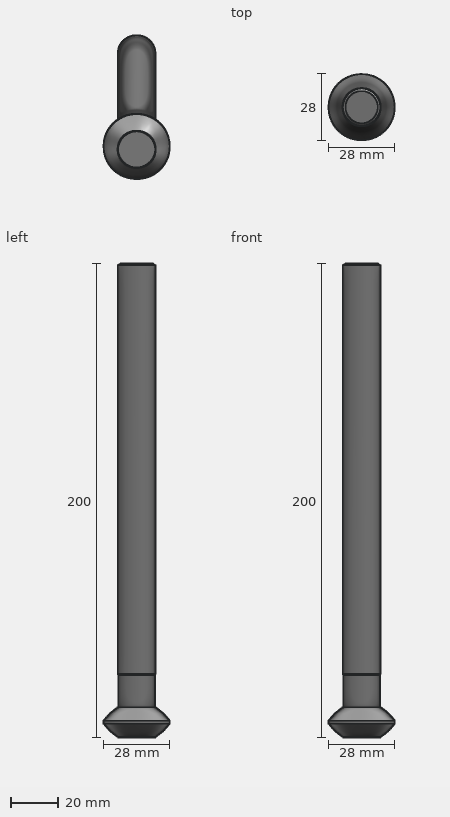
import cadquery as cq

total_length = 200.0
rod_diameter = 16.0
tip_chamfer_height = 0.8
tip_chamfer_depth = 1.2
shank_diameter = 15.5
step_height = 26.5
step_taper = 0.5

collar_diameter = 28.0
collar_end_diameter = 16.2
shank_protrusion = 0.5
collar_height = 12.5
rim_width = 1.2
flank_bulge = 0.5


def make_rod():
    """Rod with a chamfered tip and a slightly thinner shank at its lower end."""
    rod_radius = rod_diameter / 2
    shank_radius = shank_diameter / 2
    return (
        cq.Workplane("XZ")
        .moveTo(0, 0)
        .lineTo(shank_radius, 0)
        .lineTo(shank_radius, step_height)
        .lineTo(rod_radius, step_height + step_taper)
        .lineTo(rod_radius, total_length - tip_chamfer_height)
        .lineTo(rod_radius - tip_chamfer_depth, total_length)
        .lineTo(0, total_length)
        .close()
        .revolve(360, (0, 0, 0), (0, 1, 0))
    )


def make_collar():
    """Ring with a narrow cylindrical rim between two convex flanks, bored to fit the shank."""
    bore_radius = shank_diameter / 2
    end_radius = collar_end_diameter / 2
    rim_radius = collar_diameter / 2
    collar_bottom = shank_protrusion
    collar_top = collar_bottom + collar_height
    rim_bottom = collar_bottom + (collar_height - rim_width) / 2
    rim_top = rim_bottom + rim_width
    return (
        cq.Workplane("XZ")
        .moveTo(bore_radius, collar_bottom)
        .lineTo(end_radius, collar_bottom)
        .sagittaArc((rim_radius, rim_bottom), -flank_bulge)
        .lineTo(rim_radius, rim_top)
        .sagittaArc((end_radius, collar_top), -flank_bulge)
        .lineTo(bore_radius, collar_top)
        .close()
        .revolve(360, (0, 0, 0), (0, 1, 0))
    )


rod = make_rod()
collar = make_collar()

result = cq.Compound.makeCompound([rod.val(), collar.val()])